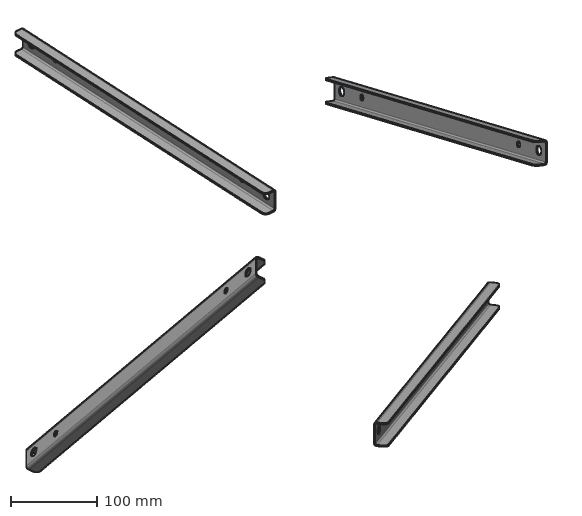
import cadquery as cq

length = 450.0
depth = 16.5
height = 30.0
thickness = 2.0
inner_bend_radius = 2.0
outer_bend_radius = inner_bend_radius + thickness
flange_corner_radius = 6.0

end_hole_diameter = 11.0
end_hole_inset = 15.0
inner_hole_diameter = 7.0
inner_hole_inset = 58.0


def bar(bar_depth, bar_height, bend_radius):
    """Full-length bar with its front face on Y = 0 and rounded long edges at the back."""
    block = cq.Workplane("XY").box(length, bar_depth, bar_height, centered=(True, False, True))
    return block.edges("|X and >Y").fillet(bend_radius)


def make_channel():
    outside = bar(depth, height, outer_bend_radius)
    inside = bar(depth - thickness, height - 2 * thickness, inner_bend_radius)
    return outside.cut(inside)


def round_flange_corners(channel):
    return channel.edges("|Z and <Y").fillet(flange_corner_radius)


def web_hole_pair(diameter, inset):
    """Two cylinders along Y, each set in from one end of the rail."""
    offset = length / 2 - inset
    return (
        cq.Workplane("XZ")
        .pushPoints([(-offset, 0), (offset, 0)])
        .circle(diameter / 2)
        .extrude(-depth)
    )


result = round_flange_corners(make_channel())
result = result.cut(web_hole_pair(end_hole_diameter, end_hole_inset))
result = result.cut(web_hole_pair(inner_hole_diameter, inner_hole_inset))